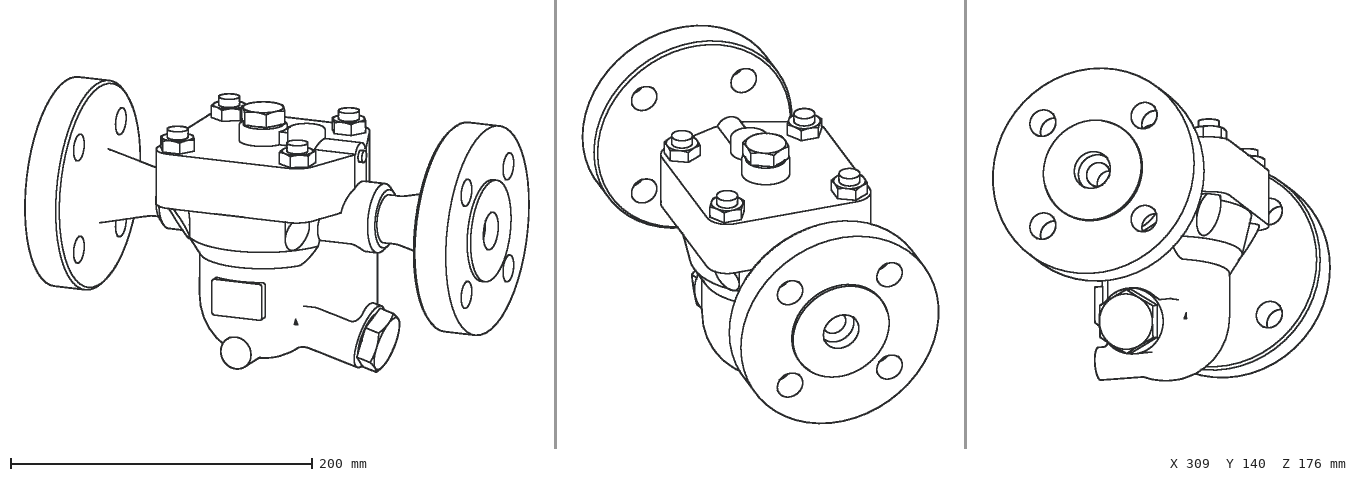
import cadquery as cq
import math

length = 309.0

flange_dia = 140.0
flange_back_x = 128.0
flange_edge = 2.0
raised_face_dia = 68.0
raised_face_height = 2.5
flange_hole_dia = 18.0
flange_hole_circle = 99.5

neck_root_dia = 54.5
neck_root_blend = 2.5
neck_cone_dia = 49.5
neck_end_dia = 32.0
neck_flare = 0.5
neck_cone_end_x = 91.8
neck_end_x = 86.5

port_dia = 46.5
port_end_x = 79.0
port_chamfer = 3.7
port_fillet = 3.0

bore_mouth_dia = 25.0
bore_mouth_depth = 9.3
bore_dia = 16.0
bore_cone_length = 3.7
bore_depth = 37.0

body_x = -10.0
body_dia = 84.7
bowl_z = -62.0
body_cone_z = -32.5
shoulder_z = -19.0
shoulder_dia = 101.5
throat_dia = 113.7

cover_bottom_z = 7.0
cover_top_z = 44.5
bolt_pitch = 86.5
cover_corner = 14.2
cover_end_x = 60.3
cover_end_width = 19.2
cover_taper_angle = 20.0

stud_dia = 14.0
stud_top_z = 58.5
nut_flats = 21.0
nut_top_z = 52.8
lug_dia = 16.0
lug_top_reach = 68.0
lug_tip_reach = 52.5

plug_seat_dia = 32.0
plug_seat_top_z = 55.5
plug_seat_fillet = 1.2
plug_flats = 27.0
plug_head_z = 57.2
plug_top_z = 67.0

pillar_x = 21.3
pillar_dia = 25.0
pillar_top_z = 56.2
pillar_fillet = 2.0
web_width = 13.5
web_top_z = 53.5
duct_dia = 18.0
duct_z = 41.0
duct_nose_dia = 8.0
duct_nose_length = 2.8

branch_tilt = 15.0
branch_dia = 44.0
branch_length = 79.5
branch_flare_end = 43.3
cap_neck_dia = 33.5
cap_start = 81.0
cap_end = 92.5
cap_flats = 36.8
cap_turn = -4.4

column_width = 35.8
column_end_x = 67.0
column_corner = 6.2
column_overlap = 1.5
column_blend = 16.5

root_sink = 0.3

pad_x_min = -28.0
pad_x_max = 8.0
pad_z_min = -66.7
pad_z_max = -42.0
pad_face_y = -44.0
pad_corner = 2.0

drain_dia = 22.0
drain_z = -90.5
drain_face_y = -46.0
drain_fillet = 2.8

body_radius = body_dia / 2
root_radius = body_radius - root_sink
cover_half = bolt_pitch / 2 + cover_corner
flange_face_x = length / 2 - raised_face_height


def post(x, y, diameter, bottom, top):
    """Vertical cylinder between two heights."""
    return cq.Workplane("XY", origin=(x, y, bottom)).circle(diameter / 2).extrude(top - bottom)


def hexagon(plane, flats, height, turn=0.0):
    """Hexagonal prism whose outer end has its corners turned down."""
    corner_dia = flats / math.cos(math.pi / 6)
    crown = (corner_dia - flats) / 2
    prism = cq.Workplane(plane).transformed(rotate=(0, 0, turn)).polygon(6, corner_dia).extrude(height)
    envelope = (
        cq.Workplane(plane)
        .circle(corner_dia / 2)
        .extrude(height)
        .faces(cq.selectors.DirectionMinMaxSelector(plane.zDir, True))
        .chamfer(crown / 2, crown)
    )
    return prism.intersect(envelope)


def pipe_end():
    """Flange, raised face and tapered neck on the +X side."""
    outline = (
        cq.Workplane("XY")
        .moveTo(port_end_x - port_chamfer, 0)
        .lineTo(port_end_x - port_chamfer, neck_end_dia / 2)
        .lineTo(neck_end_x, neck_end_dia / 2)
        .tangentArcPoint((neck_cone_end_x, neck_end_dia / 2 + neck_flare), relative=False)
        .lineTo(flange_back_x - neck_root_blend, neck_cone_dia / 2)
        .tangentArcPoint((flange_back_x, neck_root_dia / 2), relative=False)
        .lineTo(flange_back_x, flange_dia / 2 - flange_edge)
        .lineTo(flange_back_x + flange_edge, flange_dia / 2)
        .lineTo(flange_face_x, flange_dia / 2)
        .lineTo(flange_face_x, raised_face_dia / 2)
        .lineTo(length / 2, raised_face_dia / 2)
        .lineTo(length / 2, 0)
        .close()
    )
    end = outline.revolve(360, (0, 0, 0), (1, 0, 0))
    holes = (
        cq.Workplane("YZ", origin=(flange_back_x, 0, 0))
        .polarArray(flange_hole_circle / 2, 45, 360, 4)
        .circle(flange_hole_dia / 2)
        .extrude(length / 2 - flange_back_x)
    )
    return end.cut(holes)


def pipe_bore():
    """Blind stepped bore entering from the +X flange."""
    cone_start = length / 2 - bore_mouth_depth
    cone_end = cone_start - bore_cone_length
    bottom = length / 2 - bore_depth
    return (
        cq.Workplane("XY")
        .polyline([
            (length / 2, 0),
            (length / 2, bore_mouth_dia / 2),
            (cone_start, bore_mouth_dia / 2),
            (cone_end, bore_dia / 2),
            (bottom, bore_dia / 2),
            (bottom, 0),
        ])
        .close()
        .revolve(360, (0, 0, 0), (1, 0, 0))
    )


def cover_and_ports():
    """Cover with the two round ports, the inlet port blended into its side face."""
    taper_x = cover_end_x - (cover_half - cover_end_width / 2) * math.tan(math.radians(cover_taper_angle))
    left = body_x - cover_half
    cover = (
        cq.Workplane("XY", origin=(0, 0, cover_bottom_z))
        .polyline([
            (left, -cover_half),
            (taper_x, -cover_half),
            (cover_end_x, -cover_end_width / 2),
            (cover_end_x, cover_end_width / 2),
            (taper_x, cover_half),
            (left, cover_half),
        ])
        .close()
        .extrude(cover_top_z - cover_bottom_z)
    )
    cover = cover.edges("|Z and (<Y or >Y)").fillet(cover_corner)
    ports = (
        cq.Workplane("YZ", origin=(-port_end_x, 0, 0))
        .circle(port_dia / 2)
        .extrude(2 * port_end_x)
        .faces("<X or >X")
        .chamfer(port_chamfer)
    )
    joined = cover.union(ports)
    margin = 0.3
    junction = cq.selectors.BoxSelector(
        (left - margin, -port_dia, cover_bottom_z + margin),
        (left + margin, port_dia, cover_top_z - margin),
    )
    return joined.edges(junction).fillet(port_fillet)


def bowl():
    """Tapered throat, shoulder cone, round wall and hemispherical bottom of the body."""
    return (
        cq.Workplane("XZ", origin=(body_x, 0, 0))
        .moveTo(0, cover_bottom_z)
        .lineTo(throat_dia / 2, cover_bottom_z)
        .lineTo(shoulder_dia / 2, shoulder_z)
        .lineTo(body_radius, body_cone_z)
        .lineTo(body_radius, bowl_z)
        .threePointArc(
            (body_radius * math.sqrt(0.5), bowl_z - body_radius * math.sqrt(0.5)),
            (0, bowl_z - body_radius),
        )
        .close()
        .revolve(360, (0, 0, 0), (0, 1, 0))
    )


def drain():
    """Round drain boss pointing toward -Y."""
    return (
        cq.Workplane("XZ", origin=(body_x, 0, drain_z))
        .circle(drain_dia / 2)
        .extrude(-drain_face_y)
    )


def bowl_with_drain():
    """Bowl with the drain boss on its -Y side, blended at the root."""
    joined = bowl().union(drain())
    margin = 1.5
    root = cq.selectors.BoxSelector(
        (body_x - drain_dia, drain_face_y + margin, bowl_z - body_radius),
        (body_x + drain_dia, -margin, drain_z + drain_dia),
    )
    return joined.edges(root).edges("not(#Y or |Y)").fillet(drain_fillet)


def branch():
    """Sloping side branch, flared where it leaves the bowl, with its hexagonal cap."""
    tilt = math.radians(branch_tilt)
    radius = branch_dia / 2
    flare = (branch_flare_end**2 + radius**2 - root_radius**2) / (2 * (root_radius - radius))
    reach = root_radius + flare
    start = (branch_flare_end * root_radius / reach, (radius + flare) * root_radius / reach)
    half_turn = (math.atan2(branch_flare_end - start[0], radius + flare - start[1])) / 2
    middle = (
        branch_flare_end - flare * math.sin(half_turn),
        radius + flare - flare * math.cos(half_turn),
    )
    axis = cq.Plane(
        origin=(body_x, 0, bowl_z),
        xDir=(math.cos(tilt), 0, -math.sin(tilt)),
        normal=(0, -1, 0),
    )
    pipe = (
        cq.Workplane(axis)
        .lineTo(start[0], 0)
        .lineTo(*start)
        .threePointArc(middle, (branch_flare_end, radius))
        .lineTo(branch_length, radius)
        .lineTo(branch_length, cap_neck_dia / 2)
        .lineTo(cap_start, cap_neck_dia / 2)
        .lineTo(cap_start, 0)
        .close()
        .revolve(360, (0, 0, 0), (1, 0, 0))
    )
    cap_plane = cq.Plane(origin=axis.toWorldCoords((cap_start, 0)), xDir=axis.yDir, normal=axis.xDir)
    return pipe.union(hexagon(cap_plane, cap_flats, cap_end - cap_start, cap_turn))


def column():
    """Upright passage between the outlet port and the branch, blended into the round wall."""
    half = column_width / 2
    blend_y = half + column_blend
    blend_reach = root_radius + column_blend
    blend_x = math.sqrt(blend_reach**2 - blend_y**2)
    wall = (blend_x * root_radius / blend_reach, blend_y * root_radius / blend_reach)
    direction = (math.atan2(blend_y, blend_x) + math.pi + 3 * math.pi / 2) / 2
    middle = (blend_x + column_blend * math.cos(direction), blend_y + column_blend * math.sin(direction))
    end = column_end_x - body_x
    start_z = bowl_z - column_overlap
    end_z = start_z - end * math.tan(math.radians(branch_tilt))
    profile = (
        cq.Workplane("XZ", origin=(body_x, 0, 0))
        .polyline([(0, 0), (end, 0), (end, end_z), (0, start_z)])
        .close()
        .extrude(body_dia, both=True)
    )
    prism = (
        cq.Workplane("XY", origin=(body_x, 0, end_z))
        .moveTo(0, -wall[1])
        .lineTo(wall[0], -wall[1])
        .threePointArc((middle[0], -middle[1]), (blend_x, -half))
        .lineTo(end, -half)
        .lineTo(end, half)
        .lineTo(blend_x, half)
        .threePointArc(middle, wall)
        .lineTo(0, wall[1])
        .close()
        .extrude(-end_z)
        .edges("|Z and >X")
        .fillet(column_corner)
    )
    return prism.intersect(profile)


def pad():
    """Rectangular name-plate pad on the -Y side of the bowl."""
    width = pad_x_max - pad_x_min
    height = pad_z_max - pad_z_min
    centre = ((pad_x_min + pad_x_max) / 2, (pad_z_min + pad_z_max) / 2)
    return (
        cq.Workplane("XZ")
        .center(*centre)
        .rect(width, height)
        .extrude(-pad_face_y)
        .edges("|Y")
        .fillet(pad_corner)
    )


def cover_plug():
    """Round seat with a hexagonal plug on the body axis."""
    seat = post(body_x, 0, plug_seat_dia, cover_top_z, plug_seat_top_z)
    seat = seat.faces(">Z").edges().fillet(plug_seat_fillet)
    neck = post(body_x, 0, plug_flats, cover_top_z, plug_head_z)
    head = hexagon(cq.Plane((body_x, 0, plug_head_z)), plug_flats, plug_top_z - plug_head_z)
    return seat.union(neck).union(head)


def cover_duct():
    """Pillar beside the plug, its web, and the half-sunk duct to the cover edge."""
    pillar = post(pillar_x, 0, pillar_dia, cover_top_z, pillar_top_z)
    pillar = pillar.faces(">Z").edges().fillet(pillar_fillet)
    web = cq.Workplane("XY", origin=((body_x + pillar_x) / 2, 0, cover_top_z)).box(
        pillar_x - body_x, web_width, web_top_z - cover_top_z, centered=(True, True, False)
    )
    duct = (
        cq.Workplane("YZ", origin=(pillar_x, 0, duct_z))
        .circle(duct_dia / 2)
        .extrude(cover_end_x - pillar_x)
    )
    nose = (
        cq.Workplane("YZ", origin=(cover_end_x, 0, duct_z))
        .circle(duct_nose_dia / 2)
        .extrude(duct_nose_length)
    )
    return pillar.union(web).union(duct).union(nose)


def stud(x, y, nut_turn):
    """Cover stud with its nut."""
    nut = hexagon(cq.Plane((x, y, cover_top_z)), nut_flats, nut_top_z - cover_top_z, nut_turn)
    shank = post(x, y, stud_dia, cover_top_z, stud_top_z)
    return nut.union(shank)


def lugs():
    """Four upright lugs under the cover corners, their outer sides sloping in to the shoulder."""
    slope = (
        cq.Workplane("XY", origin=(body_x, 0, cover_bottom_z))
        .circle(lug_top_reach)
        .workplane(offset=shoulder_z - cover_bottom_z)
        .circle(lug_tip_reach)
        .loft()
    )
    pins = (
        cq.Workplane("XY", origin=(body_x, 0, shoulder_z))
        .rect(bolt_pitch, bolt_pitch, forConstruction=True)
        .vertices()
        .circle(lug_dia / 2)
        .extrude(cover_bottom_z - shoulder_z)
    )
    return pins.intersect(slope)


result = cover_and_ports()
for feature in (bowl_with_drain(), lugs(), column(), branch(), pad(), cover_plug(), cover_duct()):
    result = result.union(feature)
for side_x in (-1, 1):
    for side_y in (-1, 1):
        turn = 0 if side_x == side_y else 30
        result = result.union(stud(body_x + side_x * bolt_pitch / 2, side_y * bolt_pitch / 2, turn))
right_end = pipe_end()
result = result.union(right_end).union(right_end.mirror("YZ"))
right_bore = pipe_bore()
result = result.cut(right_bore).cut(right_bore.mirror("YZ"))